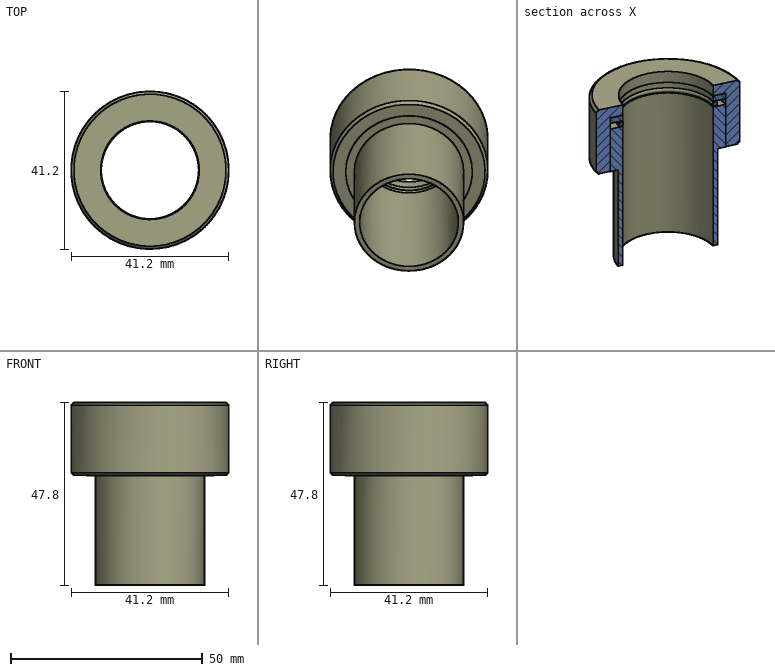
import cadquery as cq

total_height = 47.75
collar_height = 19.1
collar_diameter = 41.25
collar_chamfer = 0.75

bore_diameter = 25.8
tube_diameter = 28.55
head_diameter = 33.05
head_projection = 0.1

lip_thickness = 3.25
washer_thickness = 1.6
seal_section = 1.55
seal_inner_diameter = 25.4

collar_bottom = total_height - collar_height
washer_top = total_height - lip_thickness
seal_top = washer_top - washer_thickness
head_top = seal_top - seal_section
head_bottom = collar_bottom - head_projection


def cylinder(diameter, bottom, top):
    """Solid cylinder on the Z axis between two heights."""
    return cq.Workplane("XY").workplane(offset=bottom).circle(diameter / 2).extrude(top - bottom)


def ring(outer_diameter, inner_diameter, bottom, top):
    """Flat-ended ring on the Z axis between two heights."""
    profile = cq.Workplane("XY").workplane(offset=bottom)
    return profile.circle(outer_diameter / 2).circle(inner_diameter / 2).extrude(top - bottom)


def make_collar():
    """Chamfered collar with a top lip and a recess open at the bottom."""
    blank = cylinder(collar_diameter, collar_bottom, total_height)
    blank = blank.faces("<Z or >Z").edges().chamfer(collar_chamfer)
    bore = cylinder(bore_diameter, collar_bottom, total_height)
    recess = cylinder(head_diameter, collar_bottom, washer_top)
    return blank.cut(bore).cut(recess)


def make_washer():
    """Flat washer held under the collar lip."""
    return ring(head_diameter, bore_diameter, seal_top, washer_top)


def make_seal():
    """Round-section seal between the washer and the tube head."""
    section_radius = seal_section / 2
    section_center = seal_inner_diameter / 2 + section_radius
    section = cq.Workplane("XZ").center(section_center, seal_top - section_radius).circle(section_radius)
    return section.revolve(360, (-section_center, 0, 0), (-section_center, 1, 0))


def make_tube():
    """Straight tube with a wider head that fills the collar recess."""
    shank = ring(tube_diameter, bore_diameter, 0, head_bottom)
    head = ring(head_diameter, bore_diameter, head_bottom, head_top)
    return shank.union(head)


collar = make_collar()
washer = make_washer()
seal = make_seal()
tube = make_tube()

result = cq.Compound.makeCompound([collar.val(), washer.val(), seal.val(), tube.val()])